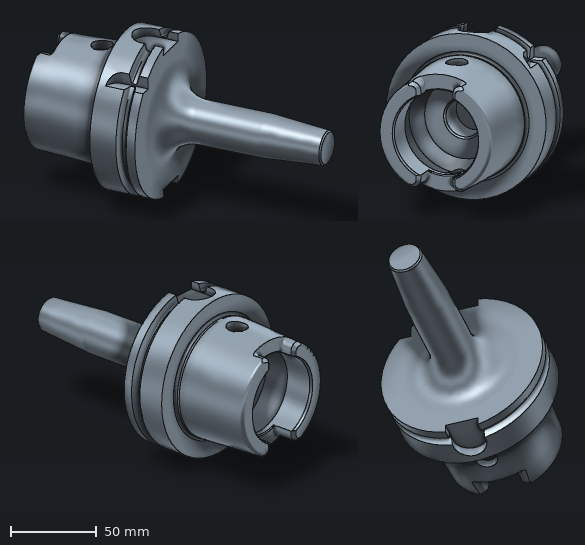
import cadquery as cq
import math

total_length = 180.0

flange_start = 50.0
flange_end = 79.0
fillet_end = 99.0
nose_start = 142.0

shank_mouth_radius = 35.3
taper_half_slope = 1 / 20
rim_round = 1.8

undercut_start = 47.2
undercut_radius = 37.5
undercut_lead = 0.7
undercut_round_start = 48.8
undercut_bottom = (50.5, 38.2)
undercut_flange_radius = 39.5

flange_radius = 50.0
groove_center = 70.0
groove_mouth_width = 6.5
groove_root_width = 3.5
groove_root_radius = 45.7
groove_root_round = 0.9

neck_radius = 13.5
nose_radius = 10.6
nose_chamfer = 0.9
neck_fillet = fillet_end - flange_end

lip_radius = 26.3
lip_end = 18.9
lip_bevel_width = 0.7
mouth_bevel_depth = 1.6
slot_floor_bevel_depth = 0.7
chamber_radius = 31.5
chamber_end = 39.5
floor_radius = 24.5
clamping_angle = 30
thread_radius = 11.5
thread_bevel = 1.0
thread_depth = 18.0

slot_width = 20.0
slot_half_width = slot_width / 2
slot_shoulder_height = 31.9
slot_shoulder_round = 5.0
slot_inner_height = 18.0
upper_slot_depth = 9.7
lower_slot_depth = 14.8
slot_floor_round = 1.8
slot_mouth_bevel = 2.2
block_half_side = flange_radius + slot_mouth_bevel

cross_hole_center = 35.0
cross_hole_diameter = 13.0

pocket_start = 54.9
keyway_width = slot_width
keyway_floor = 44.0
notch_width = 15.8
notch_wall = 31.5
notch_floor = 31.9


def shank_radius(x):
    """Outer radius of the tapered shank at a distance x from its mouth."""
    return shank_mouth_radius + taper_half_slope * x


def revolve_about_axis(profile):
    return profile.close().revolve(360, (0, 0, 0), (1, 0, 0))


def holder_blank():
    """Outer shape: shank, undercut, flange, neck fillet, neck and nose."""
    rim_mid = rim_round * (1 - math.sqrt(0.5))
    arc_mid_offset = neck_fillet * (1 - math.sqrt(0.5))
    return revolve_about_axis(
        cq.Workplane("XY")
        .moveTo(0, 0)
        .lineTo(0, shank_radius(0) - rim_round)
        .threePointArc((rim_mid, shank_radius(0) - rim_mid), (rim_round, shank_radius(rim_round)))
        .lineTo(undercut_start, shank_radius(undercut_start))
        .lineTo(undercut_start + undercut_lead, undercut_radius)
        .lineTo(undercut_round_start, undercut_radius)
        .threePointArc(undercut_bottom, (flange_start, undercut_flange_radius))
        .lineTo(flange_start, flange_radius)
        .lineTo(flange_end, flange_radius)
        .lineTo(flange_end, neck_radius + neck_fillet)
        .threePointArc(
            (flange_end + arc_mid_offset, neck_radius + arc_mid_offset),
            (fillet_end, neck_radius),
        )
        .lineTo(nose_start, neck_radius)
        .lineTo(total_length - nose_chamfer, nose_radius)
        .lineTo(total_length, nose_radius - nose_chamfer)
        .lineTo(total_length, 0)
    )


def gripper_groove():
    """Ring cut around the flange, with rounded root corners."""
    mouth = groove_mouth_width / 2
    root = groove_root_width / 2
    ring = revolve_about_axis(
        cq.Workplane("XY")
        .moveTo(groove_center - mouth, flange_radius)
        .lineTo(groove_center - root, groove_root_radius)
        .lineTo(groove_center + root, groove_root_radius)
        .lineTo(groove_center + mouth, flange_radius)
    )
    smallest_circles = cq.selectors.RadiusNthSelector(0)
    return ring.edges(smallest_circles).fillet(groove_root_round)


def drive_slot(depth):
    """Upward-facing slot whose sides flare outward through a quarter round."""
    curve_start = slot_shoulder_height - slot_shoulder_round
    shoulder = slot_half_width + slot_shoulder_round
    arc_y = shoulder - slot_shoulder_round * math.sqrt(0.5)
    arc_z = curve_start + slot_shoulder_round * math.sqrt(0.5)
    return (
        cq.Workplane("YZ")
        .moveTo(-slot_half_width, slot_inner_height)
        .lineTo(slot_half_width, slot_inner_height)
        .lineTo(slot_half_width, curve_start)
        .threePointArc((arc_y, arc_z), (shoulder, slot_shoulder_height))
        .lineTo(block_half_side, slot_shoulder_height)
        .lineTo(block_half_side, block_half_side)
        .lineTo(-block_half_side, block_half_side)
        .lineTo(-block_half_side, slot_shoulder_height)
        .lineTo(-shoulder, slot_shoulder_height)
        .threePointArc((-arc_y, arc_z), (-slot_half_width, curve_start))
        .close()
        .extrude(depth)
        .faces(">X")
        .edges()
        .fillet(slot_floor_round)
    )


def slotted_envelope():
    """Oversize block with both drive slots, their mouth edges bevelled."""
    block_side = 2 * block_half_side
    block = cq.Workplane("XY").box(total_length, block_side, block_side, centered=(False, True, True))
    block = block.cut(drive_slot(upper_slot_depth))
    block = block.cut(turned_over(drive_slot(lower_slot_depth)))
    return block.faces("<X").edges().chamfer(slot_mouth_bevel)


def shank_cavity():
    """Lip bore, wider clamping chamber, conical floor and blind thread bore."""
    clamping_length = (chamber_radius - lip_radius) * math.tan(math.radians(clamping_angle))
    floor_x = chamber_end + chamber_radius - floor_radius
    thread_end = floor_x + thread_depth
    return revolve_about_axis(
        cq.Workplane("XY")
        .moveTo(0, 0)
        .lineTo(0, lip_radius)
        .lineTo(lip_end, lip_radius)
        .lineTo(lip_end + clamping_length, chamber_radius)
        .lineTo(chamber_end, chamber_radius)
        .lineTo(floor_x, floor_radius)
        .lineTo(floor_x, thread_radius + thread_bevel)
        .lineTo(floor_x + thread_bevel, thread_radius)
        .lineTo(thread_end, thread_radius)
        .lineTo(thread_end, 0)
    )


def lip_bevel(start, depth):
    """Cone that bevels the edge between the lip bore and a flat face at start."""
    return revolve_about_axis(
        cq.Workplane("XY")
        .moveTo(start, 0)
        .lineTo(start, lip_radius + lip_bevel_width)
        .lineTo(start + depth, lip_radius)
        .lineTo(start + depth, 0)
    )


def slot_floor_bevel(slot_depth):
    """Bevel of the lip bore edge along the floor of the upper drive slot."""
    slot_zone = cq.Workplane("XY").box(
        flange_start, slot_width, flange_radius, centered=(False, True, False)
    )
    return lip_bevel(slot_depth, slot_floor_bevel_depth).intersect(slot_zone)


def flange_pocket(width, center_y, floor_z):
    """Pocket with a half-round end, open toward the nose and upward."""
    radius = width / 2
    center_x = pocket_start + radius
    height = flange_radius - floor_z
    round_end = cq.Workplane("XY", origin=(center_x, center_y, floor_z)).circle(radius).extrude(height)
    straight = cq.Workplane("XY", origin=(center_x, center_y, floor_z)).box(
        flange_end - center_x, width, height, centered=(False, True, False)
    )
    return round_end.union(straight)


def turned_over(cutter):
    """The same cutter on the opposite side of the axis."""
    return cutter.rotate((0, 0, 0), (1, 0, 0), 180)


body = holder_blank().intersect(slotted_envelope()).cut(shank_cavity())
body = body.cut(lip_bevel(0, mouth_bevel_depth))
body = body.cut(slot_floor_bevel(upper_slot_depth))
body = body.cut(turned_over(slot_floor_bevel(lower_slot_depth)))

cross_hole = (
    cq.Workplane("XY", origin=(cross_hole_center, 0, -flange_radius))
    .circle(cross_hole_diameter / 2)
    .extrude(2 * flange_radius)
)
body = body.cut(cross_hole)

keyway = flange_pocket(keyway_width, 0, keyway_floor)
notch = flange_pocket(notch_width, -notch_wall - notch_width / 2, notch_floor)
body = body.cut(gripper_groove())
for pocket in (keyway, turned_over(keyway), notch):
    body = body.cut(pocket)

result = body